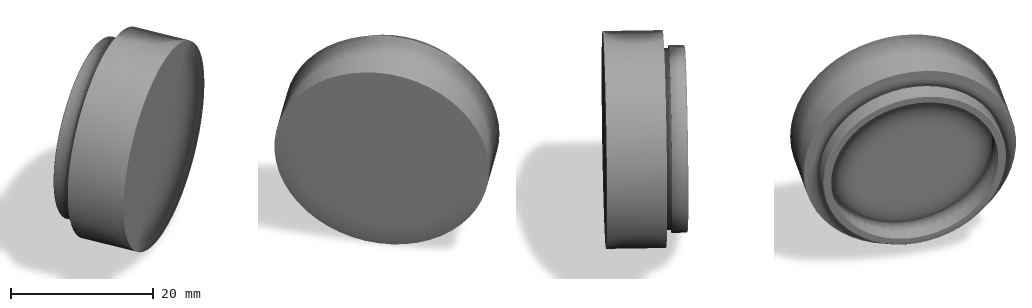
import cadquery as cq


body_diameter = 30.48
collar_diameter = 26.29
groove_diameter = 25.41
bore_diameter = 24.0

total_length = 11.43
body_length = 8.4
groove_width = 0.76
collar_chamfer = 0.15
recess_depth = 3.75

collar_front = -total_length / 2
body_back = total_length / 2
body_front = body_back - body_length
groove_front = body_front - groove_width
window_front = collar_front + recess_depth


def cylinder_along_x(diameter, start, end):
    """Solid cylinder on the X axis between two X stations."""
    return cq.Workplane("YZ", origin=(start, 0, 0)).circle(diameter / 2).extrude(end - start)


def make_housing():
    """Main body with a relief groove and a chamfered collar, bored through."""
    body = cylinder_along_x(body_diameter, body_front, body_back)
    groove = cylinder_along_x(groove_diameter, groove_front, body_front)
    collar = cylinder_along_x(collar_diameter, collar_front, groove_front)
    collar = collar.faces("<X").chamfer(collar_chamfer)
    bore = cylinder_along_x(bore_diameter, collar_front, body_back)
    return body.union(groove).union(collar).cut(bore)


def make_window():
    """Round window filling the bore behind the front recess."""
    return cylinder_along_x(bore_diameter, window_front, body_back)


housing = make_housing()
window = make_window()

result = cq.Compound.makeCompound([housing.val(), window.val()])